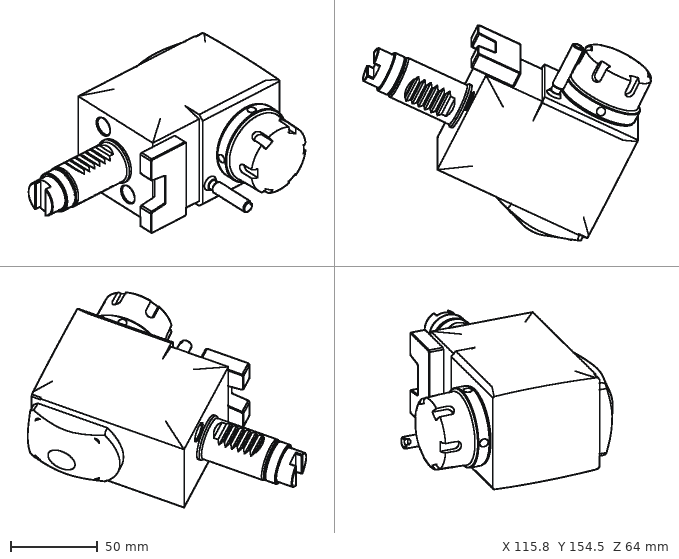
import cadquery as cq
import math

HALF_SIZE = 32.0
DEPTH = 96.0
BEVEL_DROP = 3.2
SIDE_BEVEL = 11.9
FRONT_BEVEL = 16.7
FLANGE_FACE = 35.0
FLANGE_START = 36.0
FLANGE_CHAMFER = 3.0

BACK_CONE_RADIUS = 148.3
BACK_CONE_X = 5.9
BACK_CONE_INSET = 5.7
BACK_CONE_ANGLE = 15.0

CORNER_CHAMFER = 1.0
CORNER_CHAMFER_LENGTH = 5.5

SPINDLE_Y = 70.0

CAP_TIP = -48.0
CAP_TIP_RADIUS = 8.5
CAP_RADIUS = 32.0
CAP_CONE_ANGLE = 25.0
CAP_HALF_HEIGHT = 23.3
CAP_BACK = 24.5
CAP_CORNER_RADIUS = 2.5
CAP_TAPER_ANGLE = 15.0
CAP_TAPER_START = -35.0
SCREW_OFFSET = 17.0
SCREW_RADIUS = 3.1
SCREW_TOP = -39.7

RING_START = 35.8
RING_END = 43.4
RING_RADIUS = 23.5
RING_CHAMFER = 0.5
RING_SEAT_RADIUS = RING_RADIUS - RING_CHAMFER
NECK_RADIUS = 16.8
NUT_START = 44.5
NUT_END = 64.7
NUT_BASE_RADIUS = 21.6
NUT_RADIUS = 21.2
NUT_SHOULDER = 62.7
NUT_FACE_RADIUS = 16.4
NUT_SLOT_COUNT = 6
NUT_SLOT_WIDTH = 6.0
NUT_SLOT_START = 53.0
NUT_SLOT_FLOOR = 17.9
SPANNER_HOLE_COUNT = 4
SPANNER_HOLE_RADIUS = 2.6
SPANNER_HOLE_DEPTH = 2.6

PIPE_Y = 41.9
PIPE_Z = -17.3
PIPE_END = 67.8
PIPE_START = 41.0
PIPE_RADIUS = 3.5
PIPE_CHAMFER = 0.6
PIPE_NECK_RADIUS = 2.8
PIPE_NECK_START = 37.1
PIPE_BASE_RADIUS = 4.5
PIPE_BASE_TOP_RADIUS = 3.4
OUTLET_RADIUS = 1.7
OUTLET_INSET = 4.5

KEY_LEFT = 31.5
KEY_RIGHT = 41.1
KEY_FRONT = -9.6
KEY_BACK = 18.0
KEY_HALF_HEIGHT = 26.0
KEY_GAP_FRONT = 11.0
KEY_GAP_BACK = 9.6
KEY_WEB_FRONT = 1.5
KEY_CHAMFER = 1.0
KEY_SIDE_CHAMFER = HALF_SIZE - KEY_LEFT
KEY_GAP_FILLET = 1.0

SHANK_END = -58.5
SHANK_RADIUS = 12.5
COLLAR_RADIUS = 13.6
COLLAR_END = -1.4
COLLAR_TAPER_END = -2.5
SHANK_CHAMFER_START = -40.2
GROOVE_START = -41.3
GROOVE_END = -42.3
GROOVE_RADIUS = 11.3
SHANK_RING_RADIUS = 12.0
SHANK_RING_END = -48.7
TAIL_RADIUS = 10.5
EDGE_BREAK = 0.5
DRIVE_SLOT_WIDTH = 7.9
DRIVE_SLOT_DEPTH = 4.0
DRIVE_SLOT_CHAMFER = 0.6

TOOTH_COUNT = 6
TOOTH_PITCH = 4.0
TOOTH_DEPTH = 1.5
TOOTH_TIP = 11.0
FIRST_VALLEY = -11.6
TOOTH_FLAT_START = -7.3

RECESS_X = 10.5
RECESS_Z = 18.4
RECESS_RADIUS = 5.4
RECESS_MOUTH_RADIUS = 5.9
RECESS_DEPTH = 0.8


def revolve_about_x(points, y, z=0):
    """Turn (x, radius) points about an axis parallel to X."""
    profile = cq.Workplane("XY").polyline(points).close()
    return profile.revolve(360, (0, 0, 0), (1, 0, 0)).translate((0, y, z))


def mirrored_in_z(body):
    return body.union(body.mirror("XY"))


def side_bevel_cutter(length):
    """Wedge along the top +X edge, from the front face back over the given length."""
    return (
        cq.Workplane("XZ")
        .polyline([(HALF_SIZE - SIDE_BEVEL, HALF_SIZE), (HALF_SIZE, HALF_SIZE - BEVEL_DROP),
                   (HALF_SIZE, HALF_SIZE)])
        .close()
        .extrude(-length)
    )


def back_trim():
    """Double cone that keeps the housing inside its trimmed back edges."""
    middle_radius = BACK_CONE_RADIUS + HALF_SIZE / math.tan(math.radians(BACK_CONE_ANGLE))
    profile = cq.Workplane("XZ").polyline([
        (0, -HALF_SIZE), (BACK_CONE_RADIUS, -HALF_SIZE), (middle_radius, 0),
        (BACK_CONE_RADIUS, HALF_SIZE), (0, HALF_SIZE),
    ]).close()
    axis_y = DEPTH - BACK_CONE_INSET - BACK_CONE_RADIUS
    return profile.revolve(360, (0, 0, 0), (0, 1, 0)).translate((BACK_CONE_X, axis_y, 0))


def housing():
    size = 2 * HALF_SIZE
    body = cq.Workplane("XY").box(size, DEPTH, size).translate((0, DEPTH / 2, 0))

    right = side_bevel_cutter(FLANGE_START)
    left = side_bevel_cutter(DEPTH).mirror("YZ")
    front = (
        cq.Workplane("YZ")
        .polyline([(0, HALF_SIZE - BEVEL_DROP), (FRONT_BEVEL, HALF_SIZE), (0, HALF_SIZE)])
        .close()
        .extrude(HALF_SIZE, both=True)
    )
    edge_z = HALF_SIZE - BEVEL_DROP
    corner = (
        cq.Workplane("XZ", origin=(0, DEPTH, 0))
        .polyline([(-HALF_SIZE, edge_z - CORNER_CHAMFER), (-HALF_SIZE, HALF_SIZE),
                   (CORNER_CHAMFER - HALF_SIZE, HALF_SIZE),
                   (CORNER_CHAMFER - HALF_SIZE, edge_z + CORNER_CHAMFER / 2)])
        .close()
        .extrude(CORNER_CHAMFER_LENGTH)
    )
    for cutter in (right, left, front, corner):
        body = body.cut(mirrored_in_z(cutter))

    flange_length = DEPTH - FLANGE_START
    flange = (
        cq.Workplane("XY")
        .box(FLANGE_FACE, flange_length, size)
        .edges(">X and |Y")
        .chamfer(FLANGE_CHAMFER)
        .translate((FLANGE_FACE / 2, FLANGE_START + flange_length / 2, 0))
    )
    body = body.union(flange).intersect(back_trim())

    recess = (
        cq.Workplane("XZ")
        .circle(RECESS_MOUTH_RADIUS)
        .workplane(offset=-RECESS_DEPTH)
        .circle(RECESS_RADIUS)
        .loft()
    )
    body = body.cut(recess.translate((-RECESS_X, 0, RECESS_Z)))
    return body.cut(recess.translate((RECESS_X, 0, -RECESS_Z)))


def cap():
    cone_length = (CAP_RADIUS - CAP_TIP_RADIUS) * math.tan(math.radians(CAP_CONE_ANGLE))
    turned = revolve_about_x(
        [(CAP_TIP, 0), (CAP_TIP, CAP_TIP_RADIUS), (CAP_TIP + cone_length, CAP_RADIUS),
         (-HALF_SIZE, CAP_RADIUS), (-HALF_SIZE, 0)],
        SPINDLE_Y,
    )
    length = -HALF_SIZE - CAP_TIP
    width = CAP_BACK + CAP_RADIUS
    limits = (
        cq.Workplane("XY")
        .box(length, width, 2 * CAP_HALF_HEIGHT)
        .edges(">Y and |X")
        .fillet(CAP_CORNER_RADIUS)
        .translate((CAP_TIP + length / 2, SPINDLE_Y + CAP_BACK - width / 2, 0))
    )
    taper_length = CAP_TAPER_START - CAP_TIP
    taper_drop = taper_length * math.tan(math.radians(CAP_TAPER_ANGLE))
    taper = (
        cq.Workplane("XZ")
        .polyline([(CAP_TAPER_START, CAP_HALF_HEIGHT), (CAP_TIP, CAP_HALF_HEIGHT),
                   (CAP_TIP, CAP_HALF_HEIGHT - taper_drop)])
        .close()
        .extrude(-DEPTH)
    )
    screws = (
        cq.Workplane("YZ", origin=(SCREW_TOP, SPINDLE_Y, 0))
        .rect(2 * SCREW_OFFSET, 2 * SCREW_OFFSET, forConstruction=True)
        .vertices()
        .circle(SCREW_RADIUS)
        .extrude(-HALF_SIZE - SCREW_TOP)
    )
    return turned.intersect(limits).cut(mirrored_in_z(taper)).union(screws)


def spindle_ring():
    ring = revolve_about_x(
        [(HALF_SIZE, 0), (HALF_SIZE, RING_SEAT_RADIUS), (RING_START, RING_SEAT_RADIUS),
         (RING_START + RING_CHAMFER, RING_RADIUS),
         (RING_END - RING_CHAMFER, RING_RADIUS), (RING_END, RING_SEAT_RADIUS),
         (RING_END, NECK_RADIUS), (NUT_START, NECK_RADIUS), (NUT_START, 0)],
        SPINDLE_Y,
    )
    dimple = (
        cq.Workplane("XZ")
        .polyline([(0, RING_RADIUS - SPANNER_HOLE_DEPTH), (SPANNER_HOLE_RADIUS, RING_RADIUS),
                   (0, RING_RADIUS)])
        .close()
        .revolve(360, (0, 0, 0), (0, 1, 0))
        .translate(((RING_START + RING_END) / 2, SPINDLE_Y, 0))
    )
    for i in range(SPANNER_HOLE_COUNT):
        angle = i * 360 / SPANNER_HOLE_COUNT
        ring = ring.cut(dimple.rotate((0, SPINDLE_Y, 0), (1, SPINDLE_Y, 0), angle))
    return ring


def nut():
    rounding = ((NUT_SHOULDER + 2 * NUT_END) / 3, (NUT_RADIUS * 2 + NUT_FACE_RADIUS) / 3)
    body = (
        cq.Workplane("XY")
        .moveTo(NUT_START, 0)
        .lineTo(NUT_START, NUT_BASE_RADIUS)
        .lineTo(NUT_SHOULDER, NUT_RADIUS)
        .threePointArc(rounding, (NUT_END, NUT_FACE_RADIUS))
        .lineTo(NUT_END, 0)
        .close()
        .revolve(360, (0, 0, 0), (1, 0, 0))
        .translate((0, SPINDLE_Y, 0))
    )
    half_width = NUT_SLOT_WIDTH / 2
    slot = (
        cq.Workplane("XZ", origin=(0, SPINDLE_Y - NUT_SLOT_FLOOR, 0))
        .moveTo(NUT_END, half_width)
        .lineTo(NUT_SLOT_START + half_width, half_width)
        .threePointArc((NUT_SLOT_START, 0), (NUT_SLOT_START + half_width, -half_width))
        .lineTo(NUT_END, -half_width)
        .close()
        .extrude(NUT_BASE_RADIUS - NUT_SLOT_FLOOR)
    )
    for i in range(NUT_SLOT_COUNT):
        angle = i * 360 / NUT_SLOT_COUNT
        body = body.cut(slot.rotate((0, SPINDLE_Y, 0), (1, SPINDLE_Y, 0), angle))
    return body


def coolant_pipe():
    pipe = revolve_about_x(
        [(HALF_SIZE, 0), (HALF_SIZE, PIPE_BASE_RADIUS), (FLANGE_FACE, PIPE_BASE_RADIUS),
         (PIPE_NECK_START, PIPE_BASE_TOP_RADIUS), (PIPE_NECK_START, PIPE_NECK_RADIUS),
         (PIPE_START - PIPE_CHAMFER, PIPE_NECK_RADIUS),
         (PIPE_START - PIPE_CHAMFER, PIPE_RADIUS - PIPE_CHAMFER), (PIPE_START, PIPE_RADIUS),
         (PIPE_END - PIPE_CHAMFER, PIPE_RADIUS), (PIPE_END, PIPE_RADIUS - PIPE_CHAMFER),
         (PIPE_END, 0)],
        PIPE_Y,
        PIPE_Z,
    )
    to_spindle = cq.Vector(0, SPINDLE_Y - PIPE_Y, -PIPE_Z).normalized()
    direction = to_spindle + cq.Vector(1, 0, 0)
    start = cq.Vector(PIPE_END - OUTLET_INSET, PIPE_Y, PIPE_Z)
    outlet = cq.Solid.makeCylinder(OUTLET_RADIUS, 2 * PIPE_RADIUS, start, direction)
    return pipe.cut(cq.Workplane(outlet))


def locating_key():
    key = (
        cq.Workplane("YZ", origin=(KEY_LEFT, 0, 0))
        .polyline([
            (KEY_BACK, -KEY_HALF_HEIGHT), (KEY_BACK, KEY_HALF_HEIGHT),
            (KEY_FRONT, KEY_HALF_HEIGHT), (KEY_FRONT, KEY_GAP_FRONT),
            (KEY_WEB_FRONT, KEY_GAP_BACK), (KEY_WEB_FRONT, -KEY_GAP_BACK),
            (KEY_FRONT, -KEY_GAP_FRONT), (KEY_FRONT, -KEY_HALF_HEIGHT),
        ])
        .close()
        .extrude(KEY_RIGHT - KEY_LEFT)
    )
    web_corners = cq.selectors.BoxSelector(
        (KEY_LEFT, KEY_WEB_FRONT - KEY_CHAMFER, -KEY_GAP_FRONT),
        (KEY_RIGHT, KEY_WEB_FRONT + KEY_CHAMFER, KEY_GAP_FRONT),
    )
    key = key.edges("|X").edges(web_corners).fillet(KEY_GAP_FILLET)
    key = key.faces("<Y or >Y").edges("|X").chamfer(KEY_CHAMFER)
    return key.faces("<X or >X").edges().chamfer(KEY_SIDE_CHAMFER)


def serration_cutter():
    reach = COLLAR_RADIUS - TOOTH_TIP
    points = [(TOOTH_FLAT_START + reach, COLLAR_RADIUS), (TOOTH_FLAT_START, TOOTH_TIP)]
    for i in range(TOOTH_COUNT):
        valley = FIRST_VALLEY - i * TOOTH_PITCH
        points.append((valley + TOOTH_DEPTH, TOOTH_TIP))
        points.append((valley, TOOTH_TIP - TOOTH_DEPTH))
        points.append((valley - TOOTH_DEPTH, TOOTH_TIP))
    last_land_end = valley - TOOTH_PITCH / 2
    points.append((last_land_end, TOOTH_TIP))
    points.append((last_land_end - reach, COLLAR_RADIUS))
    return cq.Workplane("YZ").polyline(points).close().extrude(SHANK_RADIUS, both=True)


def shank():
    body = (
        cq.Workplane("XY")
        .polyline([
            (0, 0), (COLLAR_RADIUS, 0), (COLLAR_RADIUS, COLLAR_END),
            (SHANK_RADIUS, COLLAR_TAPER_END), (SHANK_RADIUS, SHANK_CHAMFER_START),
            (SHANK_RING_RADIUS, GROOVE_START), (GROOVE_RADIUS, GROOVE_START),
            (GROOVE_RADIUS, GROOVE_END), (SHANK_RING_RADIUS, GROOVE_END),
            (SHANK_RING_RADIUS, SHANK_RING_END + EDGE_BREAK),
            (SHANK_RING_RADIUS - EDGE_BREAK, SHANK_RING_END),
            (TAIL_RADIUS, SHANK_RING_END), (TAIL_RADIUS, SHANK_END + EDGE_BREAK),
            (TAIL_RADIUS - EDGE_BREAK, SHANK_END), (0, SHANK_END),
        ])
        .close()
        .revolve(360, (0, 0, 0), (0, 1, 0))
    )
    half_slot = DRIVE_SLOT_WIDTH / 2
    half_mouth = half_slot + DRIVE_SLOT_CHAMFER
    floor = SHANK_END + DRIVE_SLOT_DEPTH
    drive_slot = (
        cq.Workplane("XY")
        .polyline([(-half_mouth, SHANK_END), (-half_slot, SHANK_END + DRIVE_SLOT_CHAMFER),
                   (-half_slot, floor), (half_slot, floor),
                   (half_slot, SHANK_END + DRIVE_SLOT_CHAMFER), (half_mouth, SHANK_END)])
        .close()
        .extrude(SHANK_RADIUS, both=True)
    )
    edge_height = math.sqrt(TAIL_RADIUS**2 - half_mouth**2)
    break_start = edge_height - DRIVE_SLOT_CHAMFER
    widening = SHANK_RADIUS - break_start
    edge_break = (
        cq.Workplane("XZ", origin=(0, SHANK_END, 0))
        .polyline([(-half_slot, break_start), (half_slot, break_start),
                   (half_slot + widening, SHANK_RADIUS), (-half_slot - widening, SHANK_RADIUS)])
        .close()
        .extrude(-DRIVE_SLOT_DEPTH)
    )
    for cutter in (drive_slot, mirrored_in_z(edge_break), mirrored_in_z(serration_cutter())):
        body = body.cut(cutter)
    return body


result = housing()
for feature in (cap(), spindle_ring(), nut(), coolant_pipe(), locating_key(), shank()):
    result = result.union(feature)